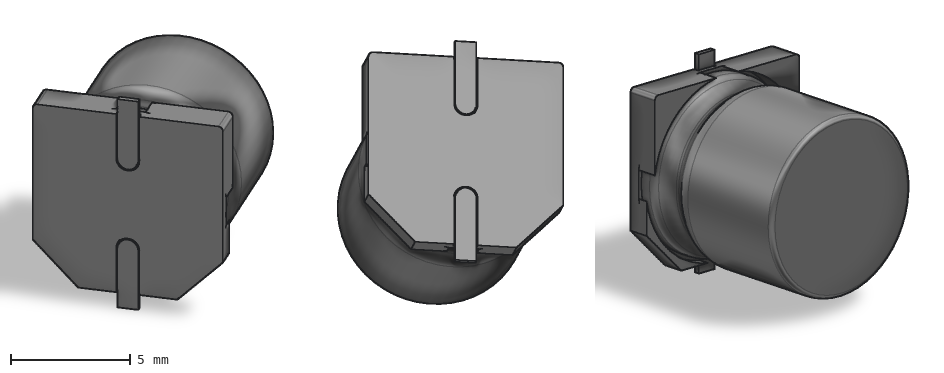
import cadquery as cq

BASE_SIZE = 8.3
HALF_BASE = BASE_SIZE / 2
BASE_CHAMFER = 1.99
BASE_CORNER_RADIUS = 0.2
LOW_WALL_TOP = 1.0
HIGH_WALL_TOP = 1.5

SEAT_RADIUS = 4.2
SEAT_FLOOR = 0.5

CAN_RADIUS = 4.01
NECK_RADIUS = 3.51
CAN_TOP = 8.5
CAN_RIM_RADIUS = 0.2
SHOULDER_START = 3.36
SHOULDER_BEND = 2.61
NECK_TOP = 2.26
NECK_BOTTOM = 2.11
FOOT_BEND = 1.38
FOOT_TOP = LOW_WALL_TOP

TERMINAL_SPAN = 9.7
TERMINAL_WIDTH = 0.9
TERMINAL_THICKNESS = 0.25
SLOT_WIDTH = 1.01
ROUND_END_CENTER = 2.09


def bend_radius(outer, bend, neck):
    """Can radius where the convex and concave arcs of a flare meet tangentially."""
    convex_share = (outer - bend) / (outer - neck)
    return CAN_RADIUS - (CAN_RADIUS - NECK_RADIUS) * convex_share


def extrude_outline(outline, height):
    """Extrude an XZ outline from the mounting face along +Y."""
    return outline.extrude(-height)


def make_base():
    size = (BASE_SIZE, BASE_SIZE)
    plate = extrude_outline(cq.Workplane("XZ").rect(*size), HIGH_WALL_TOP)
    plate = plate.edges("|Y and >Z").fillet(BASE_CORNER_RADIUS)
    plate = plate.edges("|Y and <Z").chamfer(BASE_CHAMFER)

    wall_step = (
        cq.Workplane("XY")
        .box(BASE_SIZE, HIGH_WALL_TOP - LOW_WALL_TOP, HALF_BASE, centered=(True, False, False))
        .translate((0, LOW_WALL_TOP, -HALF_BASE))
    )
    seat = extrude_outline(cq.Workplane("XZ").circle(SEAT_RADIUS), HIGH_WALL_TOP)
    seat = seat.translate((0, SEAT_FLOOR, 0))
    return plate.cut(wall_step).cut(seat)


def make_can():
    foot_bend_radius = bend_radius(FOOT_TOP, FOOT_BEND, NECK_BOTTOM)
    shoulder_bend_radius = bend_radius(SHOULDER_START, SHOULDER_BEND, NECK_TOP)
    profile = (
        cq.Workplane("XY")
        .moveTo(0, SEAT_FLOOR)
        .lineTo(CAN_RADIUS, SEAT_FLOOR)
        .lineTo(CAN_RADIUS, FOOT_TOP)
        .tangentArcPoint((foot_bend_radius, FOOT_BEND), relative=False)
        .tangentArcPoint((NECK_RADIUS, NECK_BOTTOM), relative=False)
        .lineTo(NECK_RADIUS, NECK_TOP)
        .tangentArcPoint((shoulder_bend_radius, SHOULDER_BEND), relative=False)
        .tangentArcPoint((CAN_RADIUS, SHOULDER_START), relative=False)
        .lineTo(CAN_RADIUS, CAN_TOP)
        .lineTo(0, CAN_TOP)
        .close()
    )
    can = profile.revolve(360, (0, 0, 0), (0, 1, 0))
    return can.faces(">Y").edges().fillet(CAN_RIM_RADIUS)


def make_strip(width, direction):
    """Strip with a round inner end, reaching outward along +Z or -Z."""
    half_width = width / 2
    inner = direction * ROUND_END_CENTER
    outer = direction * TERMINAL_SPAN / 2
    tip = inner - direction * half_width
    outline = (
        cq.Workplane("XZ")
        .moveTo(-half_width, outer)
        .lineTo(-half_width, inner)
        .threePointArc((0, tip), (half_width, inner))
        .lineTo(half_width, outer)
        .close()
    )
    return extrude_outline(outline, TERMINAL_THICKNESS)


result = make_base().union(make_can())
for side in (1, -1):
    result = result.cut(make_strip(SLOT_WIDTH, side))
    result = result.union(make_strip(TERMINAL_WIDTH, side))